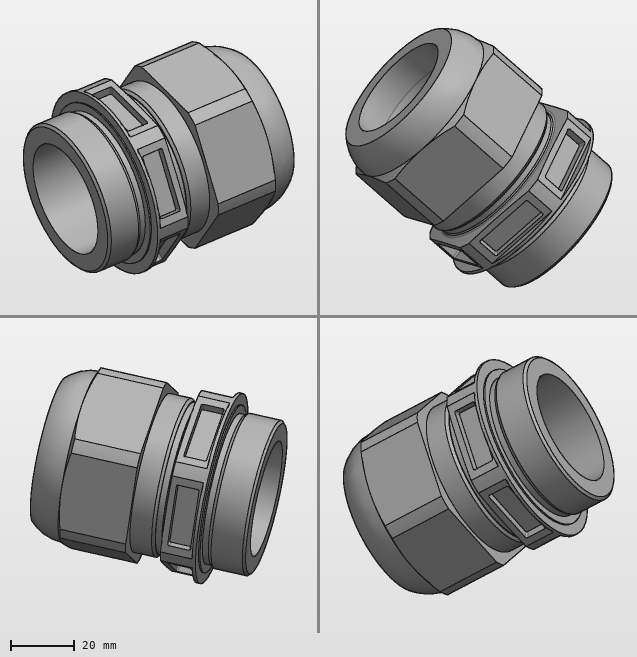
import cadquery as cq
import math

LENGTH = 70.1

THREAD_R = 24.95
THREAD_LENGTH = 11.0
THREAD_CHAMFER = 0.85
UNDERCUT_R = 24.2
UNDERCUT_START_Y = 12.05

SEAL_R = 26.9
SEAL_FACE_Y = 14.0
FLANGE_R = 30.5
FLANGE_FACE_Y = 14.5
FLANGE_BACK_Y = 15.6

HEX_SIDES = 6
FLAT_DISTANCE = 27.5
BODY_HEX_CORNER_Y = 25.9
BODY_HEX_TOP_R = 25.45
BODY_HEX_TOP_Y = 26.35

GROOVE_R = 24.4
GROOVE_START_Y = 27.1
GROOVE_LIP_R = 24.75
GROOVE_LIP_Y = 26.65
GROOVE_END_Y = 29.15
NECK_R = 25.5
NECK_START_Y = 30.15

NUT_START_Y = 37.15
NUT_CORNER_Y = 58.5
DOME_START_Y = 59.95
DOME_END_R = 23.4

BORE_ENTRY_R = 18.5
BORE_EXIT_R = 17.5

POCKET_WIDTH = 21.0
POCKET_START_Y = 16.6
POCKET_END_Y = 24.0
POCKET_DEPTH = 2.95
POCKET_CORNER_R = 0.55


def dome_midpoint():
    """Middle of the dome arc, which leaves the nut parallel to the axis."""
    rise = LENGTH - DOME_START_Y
    drop = FLAT_DISTANCE - DOME_END_R
    radius = (rise**2 + drop**2) / (2 * drop)
    half_angle = math.asin(rise / radius) / 2
    return (
        FLAT_DISTANCE - radius * (1 - math.cos(half_angle)),
        DOME_START_Y + radius * math.sin(half_angle),
    )


def turned_body():
    """Full revolved profile in (radius, Y), including the bore."""
    profile = (
        cq.Workplane("XY")
        .moveTo(BORE_ENTRY_R, 0)
        .lineTo(THREAD_R - THREAD_CHAMFER, 0)
        .lineTo(THREAD_R, THREAD_CHAMFER)
        .lineTo(THREAD_R, THREAD_LENGTH)
        .lineTo(UNDERCUT_R, UNDERCUT_START_Y)
        .lineTo(UNDERCUT_R, SEAL_FACE_Y)
        .lineTo(SEAL_R, SEAL_FACE_Y)
        .lineTo(SEAL_R, FLANGE_FACE_Y)
        .lineTo(FLANGE_R, FLANGE_FACE_Y)
        .lineTo(FLANGE_R, BODY_HEX_CORNER_Y)
        .lineTo(BODY_HEX_TOP_R, BODY_HEX_TOP_Y)
        .lineTo(GROOVE_LIP_R, GROOVE_LIP_Y)
        .lineTo(GROOVE_R, GROOVE_START_Y)
        .lineTo(GROOVE_R, GROOVE_END_Y)
        .lineTo(GROOVE_LIP_R, GROOVE_END_Y)
        .lineTo(NECK_R, NECK_START_Y)
        .lineTo(NECK_R, NUT_START_Y)
        .lineTo(FLANGE_R, NUT_START_Y)
        .lineTo(FLANGE_R, NUT_CORNER_Y)
        .lineTo(FLAT_DISTANCE, DOME_START_Y)
        .threePointArc(dome_midpoint(), (DOME_END_R, LENGTH))
        .lineTo(BORE_EXIT_R, LENGTH)
        .lineTo(BORE_ENTRY_R, DOME_START_Y)
        .close()
    )
    return profile.revolve(360, (0, 0, 0), (0, 1, 0))


def flat_cutter(start_y, end_y):
    """Block above the top flat over the given stretch of Y."""
    height = FLANGE_R - FLAT_DISTANCE
    return (
        cq.Workplane("XY")
        .box(2 * FLANGE_R, end_y - start_y, 2 * height, centered=(True, False, False))
        .translate((0, start_y, FLAT_DISTANCE))
    )


def pocket_cutter():
    """Rounded rectangular pocket sunk into the top flat of the body hexagon."""
    return (
        cq.Workplane("XY")
        .workplane(offset=FLAT_DISTANCE - POCKET_DEPTH)
        .center(0, (POCKET_START_Y + POCKET_END_Y) / 2)
        .rect(POCKET_WIDTH, POCKET_END_Y - POCKET_START_Y)
        .extrude(FLANGE_R - FLAT_DISTANCE + POCKET_DEPTH)
        .edges("|Z")
        .fillet(POCKET_CORNER_R)
    )


result = turned_body()
side_cutters = [
    flat_cutter(FLANGE_BACK_Y, BODY_HEX_TOP_Y),
    flat_cutter(NUT_START_Y, DOME_START_Y),
    pocket_cutter(),
]
for side in range(HEX_SIDES):
    for cutter in side_cutters:
        result = result.cut(cutter.rotate((0, 0, 0), (0, 1, 0), side * 360 / HEX_SIDES))